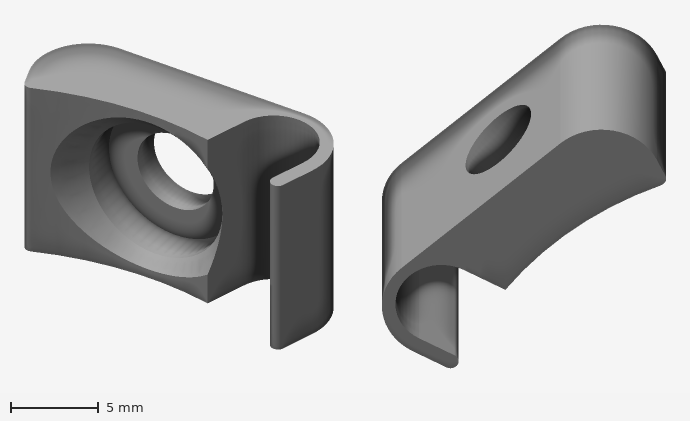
import cadquery as cq
import math

length = 19.25
depth = 6.95
height = 11.43

end_radius = 3.46
lean = math.radians(18)
bore_radius = 2.62
bore_x = 15.75
back_wall = 0.7

seat_radius = 20.79
seat_x = 8.32
seat_y = -4.68
corner_radius = 0.48

hole_x = 8.28
hole_radius = 2.55
recess_radius = 4.45
floor_y = -1.8
cone_y = -3.98
cone_depth = 3.08

cos_lean = math.cos(lean)
sin_lean = math.sin(lean)
left_center = (end_radius, -end_radius)
right_center = (length - end_radius, -end_radius)
bore_center = (bore_x, -back_wall - bore_radius)
seat_center = (seat_x, seat_y - seat_radius)


def on_circle(center, radius, angle):
    """Point on a circle, with the angle in radians."""
    return (center[0] + radius * math.cos(angle), center[1] + radius * math.sin(angle))


def along_flank(start, side, distance):
    """Move forward along a flank that leans left (side -1) or right (side 1)."""
    return (start[0] + side * distance * sin_lean, start[1] - distance * cos_lean)


def flank_to_seat(start, side):
    """Point where a flank meets the seat circle."""
    dx = start[0] - seat_center[0]
    dy = start[1] - seat_center[1]
    half_b = side * dx * sin_lean - dy * cos_lean
    c = dx ** 2 + dy ** 2 - seat_radius ** 2
    return along_flank(start, side, -half_b - math.sqrt(half_b ** 2 - c))


left_flank = on_circle(left_center, end_radius, math.pi + lean)
outer_flank = on_circle(right_center, end_radius, -lean)
inner_flank = on_circle(bore_center, bore_radius, -lean)
slot_flank = on_circle(bore_center, bore_radius, math.pi - lean)

hook_wall = (outer_flank[0] - inner_flank[0]) * cos_lean - (outer_flank[1] - inner_flank[1]) * sin_lean
tip_radius = hook_wall / 2
tip_y = -depth + tip_radius
tip_outer_y = tip_y - tip_radius * sin_lean
tip_outer = along_flank(outer_flank, -1, (outer_flank[1] - tip_outer_y) / cos_lean)
tip_center = (tip_outer[0] - tip_radius * cos_lean, tip_y)
tip_inner = on_circle(tip_center, tip_radius, math.pi - lean)
tip_end = on_circle(tip_center, tip_radius, -math.pi / 2 - lean)

left_corner = flank_to_seat(left_flank, 1)
slot_corner = flank_to_seat(slot_flank, -1)

body = (
    cq.Workplane("XY")
    .moveTo(end_radius, 0)
    .lineTo(length - end_radius, 0)
    .threePointArc((length, -end_radius), outer_flank)
    .lineTo(*tip_outer)
    .threePointArc(tip_end, tip_inner)
    .lineTo(*inner_flank)
    .threePointArc((bore_x, -back_wall), slot_flank)
    .lineTo(*slot_corner)
    .threePointArc((seat_x, seat_y), left_corner)
    .lineTo(*left_flank)
    .threePointArc(on_circle(left_center, end_radius, math.radians(135)), (end_radius, 0))
    .close()
    .extrude(height)
)
body = body.edges(cq.selectors.NearestToPointSelector((*left_corner, height / 2))).fillet(corner_radius)

screw_cut = (
    cq.Workplane("XY", origin=(hole_x, 0, height / 2))
    .polyline([
        (0, 0),
        (hole_radius, 0),
        (hole_radius, floor_y),
        (recess_radius, floor_y),
        (recess_radius, cone_y),
        (recess_radius + cone_depth, cone_y - cone_depth),
        (0, cone_y - cone_depth),
    ])
    .close()
    .revolve(360, (0, 0), (0, 1))
)

result = body.cut(screw_cut)